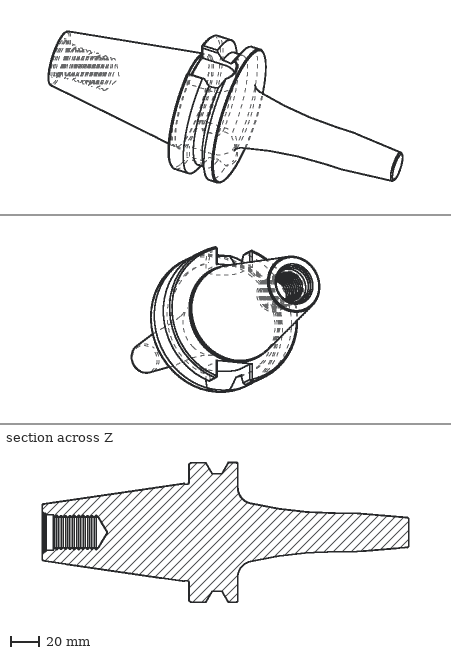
import cadquery as cq
import math

LENGTH = 261.8

GAUGE_X = 101.8
GAUGE_R = 35.0
TAPER_SLOPE = 7 / 48
SHANK_CHAMFER = 0.8
RELIEF_R = 34.5
RELIEF_LENGTH = 0.5
ROOT_CHAMFER = 0.8

FLANGE_START = 104.7
FLANGE_END = 139.8
FLANGE_R = 50.0
FRONT_CHAMFER = 1.3
REAR_CHAMFER = 0.8
GROOVE_R = 42.1
GROOVE_START = 121.5
GROOVE_END = 128.3
GROOVE_RUN = (FLANGE_R - GROOVE_R) * math.tan(math.radians(30))

NECK_R = 14.0
NECK_START = 210.0
NECK_END = 223.3
TIP_R = 10.7
TIP_CHAMFER = 1.0
FLARE_X = 148.5
FLARE_R = 21.0

SLOT_HALF_WIDTH = 12.8
SLOT_END = 136.1
SLOT_FLOOR = 35.3
SLOT_CHAMFER = 1.3
SLOT_END_CHAMFER = 1.0

MOUTH_R = 14.7
RECESS_R = 13.5
PILOT_R = 12.5
RECESS_DEPTH = 2.0
PILOT_DEPTH = 7.9
THREAD_MAJOR_R = 12.0
THREAD_MINOR_R = 10.5
THREAD_PITCH = 3.1
THREAD_COUNT = 10
DRILL_POINT_ANGLE = 118


def make_body():
    """Revolve the outside profile; the nose flares into the flange by two tangent arcs."""
    shank_r = GAUGE_R - GAUGE_X * TAPER_SLOPE
    relief_x = GAUGE_X - RELIEF_LENGTH

    flare_run = NECK_START - FLARE_X
    flare_rise = FLARE_R - NECK_R
    large_radius = (flare_run**2 + flare_rise**2) / (2 * flare_rise)
    flare_angle = math.asin(flare_run / large_radius)
    large_mid = (
        NECK_START - large_radius * math.sin(flare_angle / 2),
        NECK_R + large_radius * (1 - math.cos(flare_angle / 2)),
    )

    small_radius = (FLARE_X - FLANGE_END) / (1 - math.sin(flare_angle))
    center_x = FLANGE_END + small_radius
    center_r = FLARE_R + small_radius * math.cos(flare_angle)
    half_angle = (math.pi / 2 + flare_angle) / 2
    small_mid = (
        center_x - small_radius * math.sin(half_angle),
        center_r - small_radius * math.cos(half_angle),
    )

    return (
        cq.Workplane("XY")
        .moveTo(0, 0)
        .lineTo(0, shank_r - SHANK_CHAMFER)
        .lineTo(SHANK_CHAMFER, shank_r + SHANK_CHAMFER * TAPER_SLOPE)
        .lineTo(relief_x, GAUGE_R - RELIEF_LENGTH * TAPER_SLOPE)
        .lineTo(GAUGE_X, RELIEF_R)
        .lineTo(FLANGE_START - ROOT_CHAMFER, RELIEF_R)
        .lineTo(FLANGE_START, RELIEF_R + ROOT_CHAMFER)
        .lineTo(FLANGE_START, FLANGE_R - FRONT_CHAMFER)
        .lineTo(FLANGE_START + FRONT_CHAMFER, FLANGE_R)
        .lineTo(GROOVE_START - GROOVE_RUN, FLANGE_R)
        .lineTo(GROOVE_START, GROOVE_R)
        .lineTo(GROOVE_END, GROOVE_R)
        .lineTo(GROOVE_END + GROOVE_RUN, FLANGE_R)
        .lineTo(FLANGE_END - REAR_CHAMFER, FLANGE_R)
        .lineTo(FLANGE_END, FLANGE_R - REAR_CHAMFER)
        .lineTo(FLANGE_END, center_r)
        .threePointArc(small_mid, (FLARE_X, FLARE_R))
        .threePointArc(large_mid, (NECK_START, NECK_R))
        .lineTo(NECK_END, NECK_R)
        .lineTo(LENGTH - TIP_CHAMFER, TIP_R)
        .lineTo(LENGTH, TIP_R - TIP_CHAMFER)
        .lineTo(LENGTH, 0)
        .close()
        .revolve(360, (0, 0, 0), (1, 0, 0))
    )


def make_slot():
    """Round-ended drive slot on the +Z side, chamfered at its mouth and outer edges."""
    height = FLANGE_R - SLOT_FLOOR
    center_x = SLOT_END - SLOT_HALF_WIDTH
    slot = (
        cq.Workplane("XY", origin=(0, 0, SLOT_FLOOR))
        .moveTo(FLANGE_START, -SLOT_HALF_WIDTH)
        .lineTo(center_x, -SLOT_HALF_WIDTH)
        .threePointArc((SLOT_END, 0), (center_x, SLOT_HALF_WIDTH))
        .lineTo(FLANGE_START, SLOT_HALF_WIDTH)
        .close()
        .extrude(height)
    )
    wide = SLOT_HALF_WIDTH + SLOT_CHAMFER
    mouth = (
        cq.Workplane("XY", origin=(0, 0, SLOT_FLOOR))
        .polyline([
            (FLANGE_START, -wide),
            (FLANGE_START + SLOT_CHAMFER, -SLOT_HALF_WIDTH),
            (FLANGE_START + SLOT_CHAMFER, SLOT_HALF_WIDTH),
            (FLANGE_START, wide),
        ])
        .close()
        .extrude(height)
    )
    rim_z = math.sqrt(FLANGE_R**2 - wide**2)
    over_rim = wide + FLANGE_R - rim_z
    edges = (
        cq.Workplane("YZ", origin=(FLANGE_START, 0, 0))
        .polyline([
            (-SLOT_HALF_WIDTH, rim_z - SLOT_CHAMFER),
            (SLOT_HALF_WIDTH, rim_z - SLOT_CHAMFER),
            (over_rim, FLANGE_R),
            (-over_rim, FLANGE_R),
        ])
        .close()
        .extrude(GROOVE_START - FLANGE_START)
    )
    end_cone = cq.Workplane(
        cq.Solid.makeCone(
            SLOT_HALF_WIDTH,
            SLOT_HALF_WIDTH + SLOT_END_CHAMFER,
            SLOT_END_CHAMFER,
            cq.Vector(center_x, 0, FLANGE_R - SLOT_END_CHAMFER),
        )
    )
    return slot.union(mouth).union(edges).union(end_cone)


def make_bore():
    """Blind pull stud bore: chamfered recess, pilot, ring-shaped thread grooves and drill point."""
    thread_start = PILOT_DEPTH + (PILOT_R - THREAD_MINOR_R) / 2
    thread_end = thread_start + THREAD_COUNT * THREAD_PITCH
    point_depth = THREAD_MINOR_R / math.tan(math.radians(DRILL_POINT_ANGLE / 2))
    profile = (
        cq.Workplane("XY")
        .moveTo(0, 0)
        .lineTo(0, MOUTH_R)
        .lineTo(MOUTH_R - RECESS_R, RECESS_R)
        .lineTo(RECESS_DEPTH, RECESS_R)
        .lineTo(RECESS_DEPTH + RECESS_R - PILOT_R, PILOT_R)
        .lineTo(PILOT_DEPTH, PILOT_R)
        .lineTo(thread_start, THREAD_MINOR_R)
    )
    for turn in range(THREAD_COUNT):
        start = thread_start + turn * THREAD_PITCH
        profile = (
            profile
            .lineTo(start + THREAD_PITCH / 2, THREAD_MAJOR_R)
            .lineTo(start + THREAD_PITCH, THREAD_MINOR_R)
        )
    return profile.lineTo(thread_end + point_depth, 0).close().revolve(360, (0, 0, 0), (1, 0, 0))


upper_slot = make_slot()
lower_slot = upper_slot.rotate((0, 0, 0), (1, 0, 0), 180)
result = make_body().cut(upper_slot).cut(lower_slot).cut(make_bore())